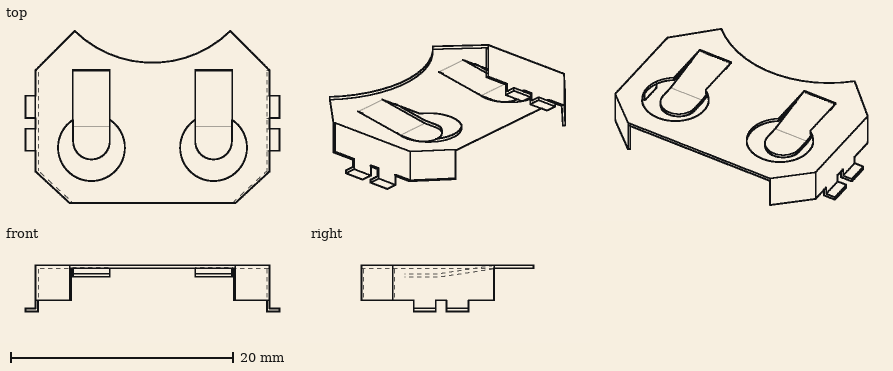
import cadquery as cq
import math

length = 22.9
depth = 15.5
height = 4.2

plate_thickness = 0.3
wall_thickness = 0.23
plate_bottom = height - plate_thickness

side_x = 10.53
side_front_y = 2.85
side_rear_y = 11.95
front_corner_x = 7.47
rear_tip_x = 7.0
notch_depth = 2.86
rear_notch_y = depth - notch_depth

wall_bottom = 1.03
foot_width = 2.02
foot_centers_y = (5.7, 8.65)

spring_x = 5.5
spring_width = 3.32
spring_tip_y = 3.92
spring_bend_y = 6.92
spring_bottom = 3.14
window_rear_y = 12.0
hole_radius = 3.0
hole_y = 5.0
root_gap = 0.1
root_bridge = 0.11


def make_plate():
    """Flat top plate with chamfered corners and a round notch in the rear edge."""
    return (
        cq.Workplane("XY", origin=(0, 0, plate_bottom))
        .moveTo(-front_corner_x, 0)
        .lineTo(front_corner_x, 0)
        .lineTo(side_x, side_front_y)
        .lineTo(side_x, side_rear_y)
        .lineTo(rear_tip_x, depth)
        .threePointArc((0, rear_notch_y), (-rear_tip_x, depth))
        .lineTo(-side_x, side_rear_y)
        .lineTo(-side_x, side_front_y)
        .close()
        .extrude(plate_thickness)
    )


def make_window(x):
    """Cutter for one spring window: a round hole joined to a straight slot."""
    slot_length = window_rear_y - hole_y
    slot = (
        cq.Workplane("XY", origin=(x, hole_y + slot_length / 2, plate_bottom))
        .rect(spring_width, slot_length)
        .extrude(plate_thickness)
    )
    hole = cq.Workplane("XY", origin=(x, hole_y, plate_bottom)).circle(hole_radius).extrude(plate_thickness)
    return slot.union(hole)


def make_spring(x):
    """Spring tongue: slopes down from the rear of its window, then runs flat to a round tip."""
    spring_top = spring_bottom + plate_thickness
    root_top_y = window_rear_y - root_gap
    slope = math.atan2(height - spring_top, root_top_y - spring_bend_y)
    bend_shift = plate_thickness * math.tan(slope / 2)
    tip_radius = spring_width / 2
    strip = (
        cq.Workplane("YZ", origin=(x, 0, 0))
        .moveTo(spring_tip_y, spring_bottom)
        .lineTo(spring_bend_y + bend_shift, spring_bottom)
        .lineTo(window_rear_y, plate_bottom)
        .lineTo(window_rear_y, plate_bottom + root_bridge)
        .lineTo(root_top_y, height)
        .lineTo(spring_bend_y, spring_top)
        .lineTo(spring_tip_y, spring_top)
        .close()
        .extrude(tip_radius, both=True)
    )
    outline = (
        cq.Workplane("XY", origin=(x, 0, 0))
        .moveTo(-tip_radius, window_rear_y)
        .lineTo(-tip_radius, spring_tip_y + tip_radius)
        .threePointArc((0, spring_tip_y), (tip_radius, spring_tip_y + tip_radius))
        .lineTo(tip_radius, window_rear_y)
        .close()
        .extrude(height)
    )
    return strip.intersect(outline)


def make_left_wall():
    """Side wall and angled front wall on the -X side, with two L-shaped solder feet."""
    wall_height = height - wall_bottom
    side_wall = cq.Workplane("XY").box(
        wall_thickness, side_rear_y - side_front_y, wall_height, centered=False
    ).translate((-side_x, side_front_y, wall_bottom))

    run_x = side_x - front_corner_x
    run_length = math.hypot(run_x, side_front_y)
    inward_x = wall_thickness * side_front_y / run_length
    inward_y = wall_thickness * run_x / run_length
    angled_wall = (
        cq.Workplane("XY", origin=(0, 0, wall_bottom))
        .moveTo(-side_x, side_front_y)
        .lineTo(-front_corner_x, 0)
        .lineTo(-front_corner_x + inward_x, inward_y)
        .lineTo(-side_x + inward_x, side_front_y + inward_y)
        .close()
        .extrude(wall_height)
    )
    wall = side_wall.union(angled_wall)

    for center_y in foot_centers_y:
        foot = (
            cq.Workplane("XZ", origin=(0, center_y, 0))
            .moveTo(-length / 2, 0)
            .lineTo(-side_x + wall_thickness, 0)
            .lineTo(-side_x + wall_thickness, wall_bottom)
            .lineTo(-side_x, wall_bottom)
            .lineTo(-side_x, plate_thickness)
            .lineTo(-length / 2, plate_thickness)
            .close()
            .extrude(foot_width / 2, both=True)
        )
        wall = wall.union(foot)
    return wall


left_wall = make_left_wall()
result = make_plate()
for x in (-spring_x, spring_x):
    result = result.cut(make_window(x)).union(make_spring(x))
result = result.union(left_wall).union(left_wall.mirror("YZ"))